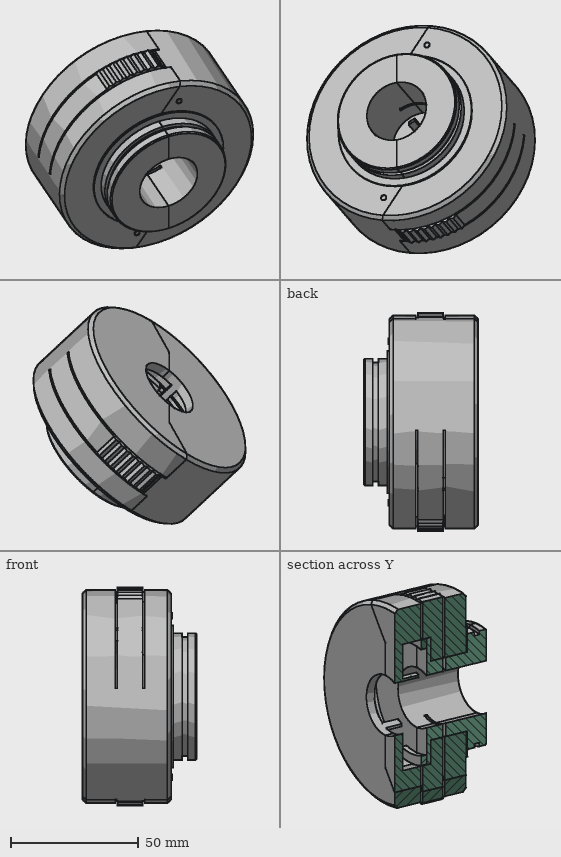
import cadquery as cq
import math


housing_radius = 42.0
housing_length = 35.0
housing_chamfer = 1.5
bore_radius = 12.5
front_wall = 4.0
cavity_radius = 27.0
cavity_end_x = 17.5
sleeve_radius = 17.5

seam_knee_z = 26.0
seam_edge_y = 10.35
tongue_tip_y = 8.3

slot_start_x = 13.0
slot_width = 0.75
tongue_width = 10.0
slot_floor_z = 3.3
nose_side_gap = 0.5
front_gap_half_width = 7.5
rear_gap_half_width = 6.2

tooth_count = 8
tooth_pitch = 4.13
first_tooth_angle = 7.2
tooth_peak_radius = 43.0
tooth_root_radius = 41.0
tip_tooth_angle = 9.9
tip_tooth_radius = 42.2

finger_length = 7.7
finger_thickness = 1.0
finger_near_y = 4.8
finger_far_y = 7.3

flange_start_x = 15.5
window_length = 1.2
spigot_radius = 25.0
spigot_end_x = 45.0
spigot_chamfer = 0.5
groove_start_x = 39.25
groove_width = 2.15
groove_radius = 23.5

washer_radius = 28.0
washer_thickness = 0.8
pad_half_width = 6.9
pad_inner_radius = 23.0
pin_radius = 1.1
pin_length = 10.0
pin_projection = 0.3
pin_y = 9.1
pin_z = 31.8

tongue_start_x = slot_start_x + slot_width
tongue_end_x = tongue_start_x + tongue_width
band_end_x = tongue_end_x + slot_width
spigot_start_x = housing_length + washer_thickness
finger_end_x = front_wall + finger_length
reach = 2 * housing_radius


def yz_plane(x):
    return cq.Workplane("YZ", origin=(x, 0, 0))


def cylinder(radius, start_x, end_x):
    return yz_plane(start_x).circle(radius).extrude(end_x - start_x)


def block(start_x, end_x, y_min, y_max, z_min, z_max):
    size = (end_x - start_x, y_max - y_min, z_max - z_min)
    return cq.Workplane("XY").box(*size, centered=False).translate((start_x, y_min, z_min))


def half_turn(body):
    return body.rotate((0, 0, 0), (1, 0, 0), 180)


def polar(radius, angle):
    """Point in the YZ plane at an angle from +Z towards +Y."""
    turn = math.radians(angle)
    return (radius * math.sin(turn), radius * math.cos(turn))


def seam_end(edge_y):
    """Far end of a slanted seam that leaves the housing rim at edge_y."""
    rim_z = math.sqrt(housing_radius**2 - edge_y**2)
    stretch = reach / rim_z
    return (edge_y * stretch, seam_knee_z + (rim_z - seam_knee_z) * stretch)


def seam_side(top_edge_y, bottom_edge_y, start_x, end_x):
    """The -Y side of the seam, between two stations along X."""
    top_y, top_z = seam_end(top_edge_y)
    bottom_y, bottom_z = seam_end(bottom_edge_y)
    outline = [
        (top_y, top_z),
        (0, seam_knee_z),
        (0, -seam_knee_z),
        (-bottom_y, -bottom_z),
        (-reach, -bottom_z),
        (-reach, top_z),
    ]
    return yz_plane(start_x).polyline(outline).close().extrude(end_x - start_x)


def pin_at(y, z):
    start_x = housing_length + pin_projection - pin_length
    return yz_plane(start_x).center(y, z).circle(pin_radius).extrude(pin_length)


def grip_teeth():
    teeth = cq.Workplane("YZ")
    for index in range(tooth_count):
        angle = first_tooth_angle - index * tooth_pitch
        before = angle + tooth_pitch / 2
        after = angle - tooth_pitch / 2
        outline = [
            polar(tooth_root_radius, before),
            polar(housing_radius, before),
            polar(tooth_peak_radius, angle),
            polar(housing_radius, after),
            polar(tooth_root_radius, after),
        ]
        tooth = yz_plane(tongue_start_x).polyline(outline).close().extrude(tongue_width)
        teeth = teeth.add(tooth)
    last_valley = first_tooth_angle + tooth_pitch / 2
    tip_z = math.sqrt(housing_radius**2 - tongue_tip_y**2)
    tip_outline = [
        polar(tooth_root_radius, last_valley),
        polar(housing_radius, last_valley),
        polar(tip_tooth_radius, tip_tooth_angle),
        (tongue_tip_y, tip_z),
    ]
    tip_tooth = yz_plane(tongue_start_x).polyline(tip_outline).close().extrude(tongue_width)
    return teeth.add(tip_tooth).combine()


def housing_half():
    """The -Y half: its tongue is on top, its nose facing the other tongue is underneath."""
    drum = cylinder(housing_radius, 0, housing_length).edges().chamfer(housing_chamfer)
    drum = drum.cut(cylinder(bore_radius, 0, front_wall))
    drum = drum.cut(cylinder(cavity_radius, front_wall, cavity_end_x))
    drum = drum.cut(cylinder(sleeve_radius, cavity_end_x, housing_length))

    front = seam_side(seam_edge_y, seam_edge_y, 0, slot_start_x)
    band = seam_side(tongue_tip_y, seam_edge_y, slot_start_x, band_end_x)
    rear = seam_side(seam_edge_y, seam_edge_y, band_end_x, housing_length)
    half = drum.intersect(front.union(band).union(rear))

    slots = ((slot_start_x, front_gap_half_width), (tongue_end_x, rear_gap_half_width))
    for start_x, _ in slots:
        half = half.cut(block(start_x, start_x + slot_width, -reach, reach, slot_floor_z, reach))

    nose_start_x = slot_start_x + nose_side_gap
    wide_side = seam_side(tongue_tip_y, tongue_tip_y, nose_start_x, band_end_x)
    lower = block(nose_start_x, band_end_x, -reach, reach, -reach, -cavity_radius)
    nose = cylinder(housing_radius, nose_start_x, band_end_x).intersect(wide_side).intersect(lower)
    half = half.union(nose)

    for start_x, gap in slots:
        half = half.cut(block(start_x, start_x + slot_width, -gap, gap, -reach, reach))

    finger = cylinder(bore_radius + finger_thickness, front_wall, finger_end_x)
    finger = finger.cut(cylinder(bore_radius, front_wall, finger_end_x))
    finger_span = block(front_wall, finger_end_x, -finger_far_y, -finger_near_y, 0, reach)
    half = half.union(finger.intersect(finger_span))

    half = half.union(grip_teeth())
    return half.cut(pin_at(-pin_y, -pin_z))


def sleeve_half():
    """The -Y half of the sleeve: retaining flange, windowed tube and grooved spigot."""
    flange = cylinder(cavity_radius, flange_start_x, cavity_end_x)
    tube = cylinder(sleeve_radius, cavity_end_x, spigot_start_x)
    spigot = cylinder(spigot_radius, spigot_start_x, spigot_end_x)
    spigot = spigot.faces(">X").edges().chamfer(spigot_chamfer)
    groove_end_x = groove_start_x + groove_width
    groove = cylinder(reach, groove_start_x, groove_end_x)
    groove = groove.cut(cylinder(groove_radius, groove_start_x, groove_end_x))
    body = flange.union(tube).union(spigot.cut(groove))
    body = body.cut(cylinder(bore_radius, flange_start_x, spigot_end_x))
    window_end_x = tongue_end_x + window_length
    gap = rear_gap_half_width
    body = body.cut(block(tongue_end_x, window_end_x, -gap, gap, -reach, reach))
    return body.intersect(block(flange_start_x, spigot_end_x, -reach, 0, -reach, reach))


def pad():
    """Upper pad, lying in the cavity in front of the sleeve flange."""
    ring = cylinder(cavity_radius, slot_start_x, flange_start_x)
    ring = ring.cut(cylinder(pad_inner_radius, slot_start_x, flange_start_x))
    span = block(slot_start_x, flange_start_x, -pad_half_width, pad_half_width, 0, reach)
    return ring.intersect(span)


def washer():
    disc = cylinder(washer_radius, housing_length, spigot_start_x)
    return disc.cut(cylinder(sleeve_radius, housing_length, spigot_start_x))


bodies = [washer().solids().val()]
for body in (housing_half(), sleeve_half(), pad(), pin_at(pin_y, pin_z)):
    bodies.append(body.solids().val())
    bodies.append(half_turn(body).solids().val())

result = cq.Compound.makeCompound(bodies)